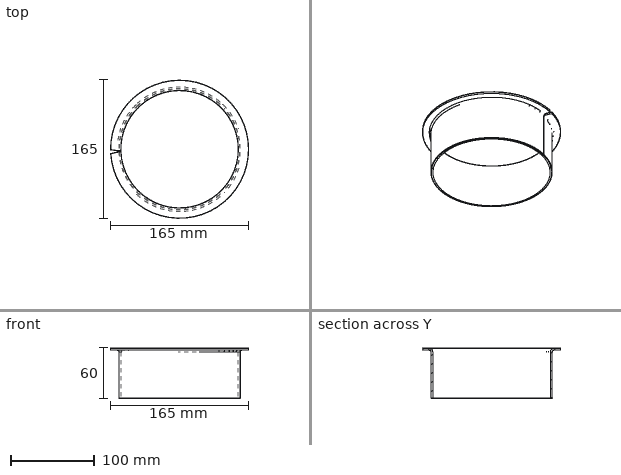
import cadquery as cq
import math

wall = 2.5
bore_diameter = 140.0
flange_diameter = 165.0
height = 60.0
outer_bend_radius = 2.0
lead_in_chamfer = 0.5

split_angle = 182.0
split_width = 0.9
notch_mouth_width = 4.5

bore_radius = bore_diameter / 2
sleeve_radius = bore_radius + wall
flange_radius = flange_diameter / 2
inner_bend_radius = outer_bend_radius + wall
bend_center_radius = sleeve_radius + outer_bend_radius
bend_center_z = -inner_bend_radius
cut_margin = 5.0


def bend_midpoint(radius):
    """Middle of the quarter bend arc, as (distance from axis, Z)."""
    reach = radius * math.sqrt(0.5)
    return (bend_center_radius - reach, bend_center_z + reach)


def make_bushing():
    """Revolve the sleeve, the rounded bend and the flange as one section."""
    section = (
        cq.Workplane("XZ")
        .moveTo(bore_radius, -height)
        .lineTo(sleeve_radius - lead_in_chamfer, -height)
        .lineTo(sleeve_radius, -height + lead_in_chamfer)
        .lineTo(sleeve_radius, bend_center_z)
        .threePointArc(bend_midpoint(outer_bend_radius), (bend_center_radius, -wall))
        .lineTo(flange_radius, -wall)
        .lineTo(flange_radius, 0)
        .lineTo(bend_center_radius, 0)
        .threePointArc(bend_midpoint(inner_bend_radius), (bore_radius, bend_center_z))
        .close()
    )
    return section.revolve(360, (0, 0, 0), (0, 1, 0))


def make_split():
    """Narrow radial slot through the full height of the wall."""
    slot_start = bore_radius - cut_margin
    slot_length = flange_radius + cut_margin - slot_start
    slot = cq.Workplane("XY").box(
        slot_length, split_width, height + 2 * cut_margin, centered=(False, True, False)
    )
    slot = slot.translate((slot_start, 0, -height - cut_margin))
    return slot.rotate((0, 0, 0), (0, 0, 1), split_angle)


def make_notch():
    """V-shaped opening that widens from the sleeve wall to the flange rim."""
    side_slope = (notch_mouth_width - split_width) / 2 / (flange_radius - sleeve_radius)
    far_radius = flange_radius + cut_margin
    half_root = split_width / 2
    half_far = half_root + side_slope * (far_radius - sleeve_radius)
    notch = (
        cq.Workplane("XY")
        .workplane(offset=bend_center_z)
        .moveTo(sleeve_radius, -half_root)
        .lineTo(far_radius, -half_far)
        .lineTo(far_radius, half_far)
        .lineTo(sleeve_radius, half_root)
        .close()
        .extrude(inner_bend_radius + cut_margin)
    )
    return notch.rotate((0, 0, 0), (0, 0, 1), split_angle)


result = make_bushing().cut(make_split()).cut(make_notch())